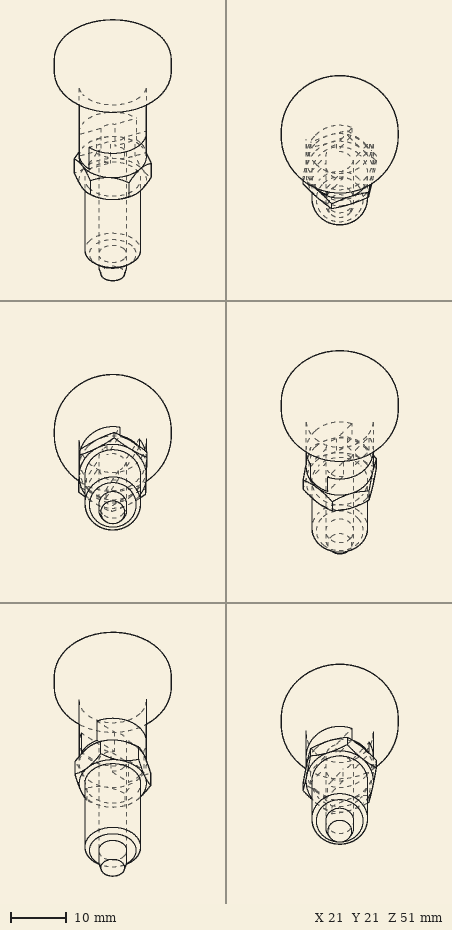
import cadquery as cq
import math

total_height = 51.0
pin_cone_top = 2.0
pin_dome_top = 0.55
housing_bottom = 5.0
hex_bottom = 22.0
hex_height = 5.0
hex_top = hex_bottom + hex_height
slot_bottom = 27.6
sleeve_bottom = 32.5
knob_height = 7.0
knob_bottom = total_height - knob_height

knob_radius = 10.5
knob_top_fillet = 2.0
knob_lower_fillet = 2.5
sleeve_radius = 6.0
neck_fillet = 1.0
tab_width = 4.15

pin_radius = 2.5
pin_tip_radius = 2.15

hex_across_flats = 2 * sleeve_radius
barrel_radius = 5.0
barrel_chamfer = 0.8


def make_crossbar():
    """Bar of the slot's width and depth, rounded at its ends to the sleeve radius."""
    bar_height = sleeve_bottom - slot_bottom
    bar = cq.Workplane("XY").box(tab_width, 2 * sleeve_radius, bar_height, centered=(True, True, False))
    round_ends = cq.Workplane("XY").circle(sleeve_radius).extrude(bar_height)
    return bar.intersect(round_ends).translate((0, 0, slot_bottom))


def make_plunger():
    """Knob, sleeve, crossbar and the locking pin that runs down through the housing."""
    arc_share = 1 - math.sqrt(0.5)
    top_inset = knob_top_fillet * arc_share
    lower_inset = knob_lower_fillet * arc_share
    neck_inset = neck_fillet * arc_share
    head = (
        cq.Workplane("XZ")
        .moveTo(0, sleeve_bottom)
        .lineTo(sleeve_radius, sleeve_bottom)
        .lineTo(sleeve_radius, knob_bottom - neck_fillet)
        .threePointArc(
            (sleeve_radius + neck_inset, knob_bottom - neck_inset),
            (sleeve_radius + neck_fillet, knob_bottom),
        )
        .lineTo(knob_radius - knob_lower_fillet, knob_bottom)
        .threePointArc(
            (knob_radius - lower_inset, knob_bottom + lower_inset),
            (knob_radius, knob_bottom + knob_lower_fillet),
        )
        .lineTo(knob_radius, total_height - knob_top_fillet)
        .threePointArc(
            (knob_radius - top_inset, total_height - top_inset),
            (knob_radius - knob_top_fillet, total_height),
        )
        .lineTo(0, total_height)
        .close()
        .revolve(360, (0, 0), (0, 1))
    )

    dome_radius = (pin_tip_radius**2 + pin_dome_top**2) / (2 * pin_dome_top)
    dome_mid_x = pin_tip_radius / 2
    dome_mid_z = dome_radius - math.sqrt(dome_radius**2 - dome_mid_x**2)
    pin = (
        cq.Workplane("XZ")
        .moveTo(0, 0)
        .threePointArc((dome_mid_x, dome_mid_z), (pin_tip_radius, pin_dome_top))
        .lineTo(pin_radius, pin_cone_top)
        .lineTo(pin_radius, sleeve_bottom)
        .lineTo(0, sleeve_bottom)
        .close()
        .revolve(360, (0, 0), (0, 1))
    )
    return head.union(make_crossbar()).union(pin)


def make_hex():
    """Hexagon with corners along X, its corners turned off at 45 degrees top and bottom."""
    corner_radius = hex_across_flats / math.sqrt(3)
    corner_chamfer = corner_radius - hex_across_flats / 2
    prism = cq.Workplane("XY").polygon(6, 2 * corner_radius).extrude(hex_height)
    turned = cq.Workplane("XY").circle(corner_radius).extrude(hex_height).edges().chamfer(corner_chamfer)
    return prism.intersect(turned).translate((0, 0, hex_bottom))


def make_housing():
    """Barrel, hexagon and slotted collar, bored through for the pin."""
    barrel = (
        cq.Workplane("XY", origin=(0, 0, housing_bottom))
        .circle(barrel_radius)
        .extrude(hex_bottom - housing_bottom)
        .faces("<Z")
        .edges()
        .chamfer(barrel_chamfer)
    )
    collar = (
        cq.Workplane("XY", origin=(0, 0, hex_top))
        .circle(sleeve_radius)
        .extrude(sleeve_bottom - hex_top)
    )
    bore = (
        cq.Workplane("XY", origin=(0, 0, housing_bottom))
        .circle(pin_radius)
        .extrude(sleeve_bottom - housing_bottom)
    )
    return barrel.union(make_hex()).union(collar).cut(bore).cut(make_crossbar())


plunger = make_plunger()
housing = make_housing()

result = cq.Compound.makeCompound([plunger.solids().val(), housing.solids().val()])